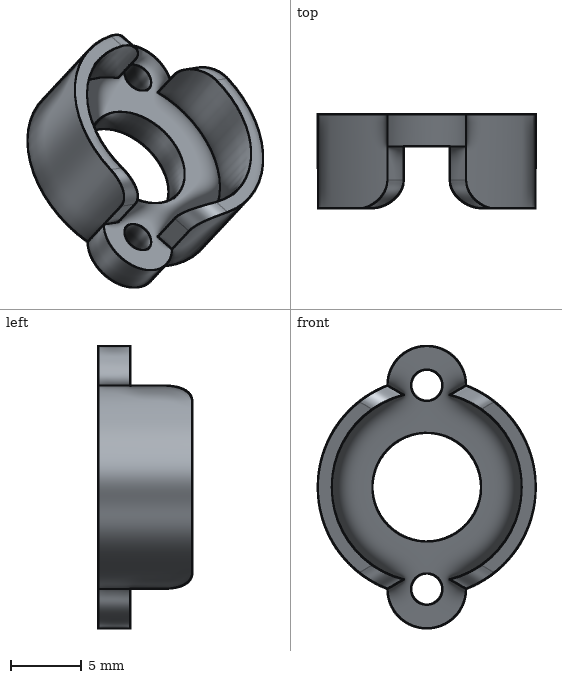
import cadquery as cq
import math

body_diameter = 15.5
wall_thickness = 1.0
overall_depth = 6.7
overall_height = 20.08
plate_thickness = 2.3
bore_diameter = 7.7
ear_radius = 2.8
ear_hole_diameter = 2.2
wall_end_angle = 30.0
wall_corner_radius = 2.0

body_radius = body_diameter / 2
wall_inner_radius = body_radius - wall_thickness
ear_offset = overall_height / 2 - ear_radius
wall_end_slope = math.tan(math.radians(wall_end_angle))
wall_start_z = math.sqrt(body_radius**2 - ear_radius**2)
end_plane_center_z = wall_start_z - ear_radius * wall_end_slope
end_plane_side_z = end_plane_center_z + body_radius * wall_end_slope


def cylinder(radius, depth, z=0.0):
    """Cylinder along Y, from the back face (y = 0) towards -Y."""
    return cq.Workplane("XZ").center(0, z).circle(radius).extrude(depth)


def make_plate():
    """Round plate with one ear above and one below."""
    plate = cylinder(body_radius, plate_thickness)
    for side in (1, -1):
        plate = plate.union(cylinder(ear_radius, plate_thickness, side * ear_offset))
    return plate


def make_right_wall():
    """Curved wall on the +X side, with slanted ends and rounded rim corners."""
    ring = cylinder(body_radius, overall_depth).cut(cylinder(wall_inner_radius, overall_depth))
    sector = (
        cq.Workplane("XZ")
        .moveTo(0, -end_plane_center_z)
        .lineTo(body_radius, -end_plane_side_z)
        .lineTo(body_radius, end_plane_side_z)
        .lineTo(0, end_plane_center_z)
        .close()
        .extrude(overall_depth)
    )
    sector = sector.faces("<Y").edges(">Z or <Z").fillet(wall_corner_radius)
    return ring.intersect(sector)


def cut_holes(body):
    """Central bore and one hole through each ear."""
    body = body.cut(cylinder(bore_diameter / 2, plate_thickness))
    for side in (1, -1):
        body = body.cut(cylinder(ear_hole_diameter / 2, plate_thickness, side * ear_offset))
    return body


right_wall = make_right_wall()
left_wall = right_wall.mirror("YZ")
result = cut_holes(make_plate().union(right_wall).union(left_wall))